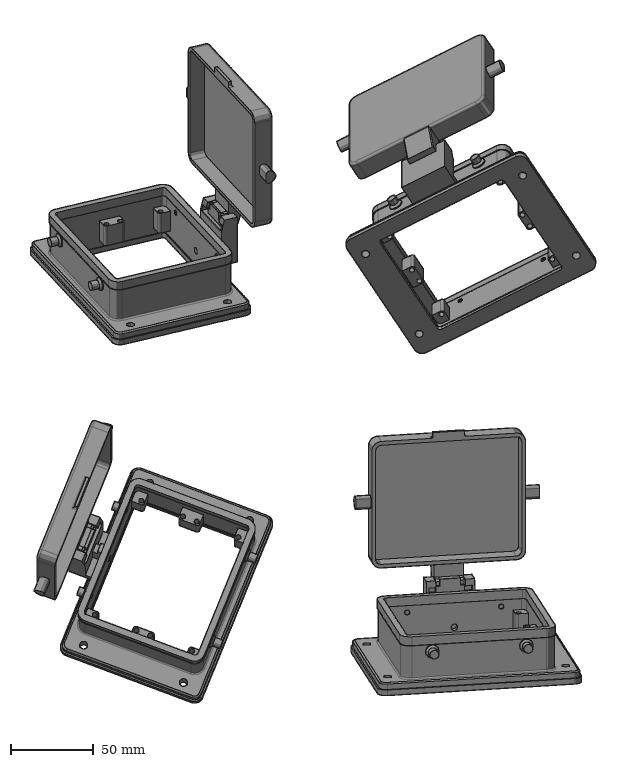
import cadquery as cq


gasket_x = 126.0
gasket_y = 92.1
gasket_height = 3.6
flange_inset = 1.0
flange_top = 7.7
flange_corner = 5.3
flange_bevel_drop = 0.7
flange_bevel_inset = 1.2
mount_hole_diameter = 4.8
mount_hole_x = 55.0
mount_hole_y = 32.5

wall_x = 95.0
wall_y = 80.7
wall_corner = 5.8
root_fillet = 0.9
rim_overhang = 0.5
rim_bottom = 29.0
housing_top = 34.8
rim_opening_x = 88.0
rim_opening_y = 73.8
rim_opening_corner = 2.0
wall_relief = 0.1
wall_opening_corner = 2.6
gasket_opening_inset = 0.5

post_bottom = 8.1
post_top = 22.0
post_inner_x = 36.3
corner_post_y = 29.3
middle_post_half_y = 6.8
post_corner = 1.7
post_hole_diameter = 3.0
post_hole_x = 38.7
corner_post_hole_y = 31.5
middle_post_hole_y = 4.5

pin_x = 29.0
pin_z = 24.6
pin_diameter = 5.5
front_pin_end = 47.2
rear_pin_end = 46.0
pin_collar_diameter = 8.2
pin_collar_length = 2.0
pin_bore_diameter = 3.0
pin_bore_depth = 0.7
rivet_bore_diameter = 4.0
rivet_z = 13.4

cover_x = wall_x
cover_bottom = 48.2
cover_top = 128.9
cover_front = 54.2
cover_back = 66.4
cover_corner = wall_corner
cover_wall = 2.4
cover_back_fillet = 1.7
handle_length_x = 113.5
handle_z = 89.2
handle_half_height = 4.2
handle_flat_half_height = 2.6
handle_flat_y = 57.5
handle_crest_y = 59.6
handle_tip_y = 64.1
handle_front_mid = (58.0, 3.7)
handle_back_mid = (62.3, 3.0)
tab_width = 19.5
tab_thickness = 2.0
tab_top = 132.5
tab_root_fillet = 1.0

hinge_width = 30.0
hinge_back = 57.8
hinge_bottom = 8.2
hinge_top = 39.6
hinge_top_front = 49.2
hinge_front = 47.0
hinge_slope_bottom = 31.3
foot_top = 12.9
foot_notch_top = 10.6
foot_notch_y = 42.5
arm_width = 18.3
arm_bottom = 31.1
arm_back_top = 66.1
arm_back_bottom = 61.5
arm_back_bevel = 0.7
arm_setback = 0.3
pocket_width = 26.8
pocket_floor = 32.0
pocket_top = 35.6
pocket_back = 51.0
clip_tip_width = 12.7
clip_body_width = 17.5
clip_tip_y = 49.2
clip_tip_z = 40.7
clip_shoulder_z = 38.5
clip_saddle_y = 51.1
clip_saddle_z = 39.8
clip_body_saddle_y = 52.0
clip_back_z = 40.3
clip_foot_y = 49.4
clip_notch_floor = 36.0
clip_notch_back = 50.6
rib_width = 5.5
rib_step_y = 43.9
rib_step_z = 24.6
rib_top = 29.2


def rounded_block(size_x, size_y, bottom, top, corner):
    """Upright block centred on the Z axis with rounded vertical edges."""
    block = cq.Workplane("XY").workplane(offset=bottom).rect(size_x, size_y).extrude(top - bottom)
    return block.edges("|Z").fillet(corner)


def side_profile(points, width):
    """Extrude a (Y, Z) polygon symmetrically about X = 0."""
    return cq.Workplane("YZ").polyline(points).close().extrude(width / 2, both=True)


def box_between(x_range, y_range, z_range):
    """Box given by its lower and upper limits along each axis."""
    sizes = [high - low for low, high in (x_range, y_range, z_range)]
    corner = (x_range[0], y_range[0], z_range[0])
    return cq.Workplane("XY").box(*sizes, centered=False).translate(corner)


def make_shell():
    gasket = rounded_block(gasket_x, gasket_y, 0, gasket_height, flange_corner)
    flange = rounded_block(
        gasket_x - 2 * flange_inset,
        gasket_y - 2 * flange_inset,
        gasket_height,
        flange_top,
        flange_corner - flange_inset,
    )
    flange = flange.faces(">Z").chamfer(flange_bevel_drop, flange_bevel_inset)
    walls = rounded_block(wall_x, wall_y, flange_top, rim_bottom, wall_corner)
    shell = flange.union(walls)
    root_edges = cq.selectors.BoxSelector(
        (-wall_x / 2 - root_fillet, -wall_y / 2 - root_fillet, flange_top - root_fillet),
        (wall_x / 2 + root_fillet, wall_y / 2 + root_fillet, flange_top + root_fillet),
    )
    shell = shell.edges(root_edges).fillet(root_fillet)
    rim = rounded_block(
        wall_x + 2 * rim_overhang,
        wall_y + 2 * rim_overhang,
        rim_bottom,
        housing_top,
        wall_corner + rim_overhang,
    )
    shell = shell.union(gasket).union(rim)

    gasket_opening = rounded_block(
        rim_opening_x - 2 * gasket_opening_inset,
        rim_opening_y - 2 * gasket_opening_inset,
        0,
        gasket_height,
        rim_opening_corner,
    )
    wall_opening = rounded_block(
        rim_opening_x + 2 * wall_relief,
        rim_opening_y + 2 * wall_relief,
        gasket_height,
        rim_bottom,
        wall_opening_corner,
    )
    rim_opening = rounded_block(
        rim_opening_x, rim_opening_y, rim_bottom, housing_top, rim_opening_corner
    )
    shell = shell.cut(gasket_opening).cut(wall_opening).cut(rim_opening)

    mount_holes = (
        cq.Workplane("XY")
        .rect(2 * mount_hole_x, 2 * mount_hole_y, forConstruction=True)
        .vertices()
        .circle(mount_hole_diameter / 2)
        .extrude(flange_top)
    )
    return shell.cut(mount_holes)


def make_posts():
    """Four corner posts and two middle posts, each reaching into the side walls."""
    embed_x = (rim_opening_x + wall_x) / 4
    embed_y = (rim_opening_y + wall_y) / 4
    span_x = (post_inner_x, embed_x)
    span_z = (post_bottom, post_top)
    corner_post = box_between(span_x, (corner_post_y, embed_y), span_z)
    corner_post = corner_post.edges("|Z and <X and <Y").fillet(post_corner)
    middle_post = box_between(span_x, (-middle_post_half_y, middle_post_half_y), span_z)
    middle_post = middle_post.edges("|Z and <X").fillet(post_corner)
    hole_rows = (-corner_post_hole_y, -middle_post_hole_y, middle_post_hole_y, corner_post_hole_y)
    holes = (
        cq.Workplane("XY")
        .pushPoints([(post_hole_x, y) for y in hole_rows])
        .circle(post_hole_diameter / 2)
        .extrude(post_top)
    )
    side = middle_post.union(corner_post).union(corner_post.mirror("XZ")).cut(holes)
    return side.union(side.mirror("YZ"))


def y_cylinder(x, z, y_start, y_end, diameter):
    """Cylinder along +Y."""
    plane = cq.Plane(origin=(x, y_start, z), xDir=(1, 0, 0), normal=(0, 1, 0))
    return cq.Workplane(plane).circle(diameter / 2).extrude(y_end - y_start)


def make_pin_pair(end_y):
    """Two locking pins with flared collars on the +Y wall, reaching out to end_y."""
    wall_face = wall_y / 2
    collar_end = wall_face + pin_collar_length
    flare = (pin_collar_diameter - pin_diameter) / 2
    collar = y_cylinder(pin_x, pin_z, wall_face, collar_end, pin_collar_diameter)
    collar = collar.faces(">Y").chamfer(flare)
    pin = collar.union(y_cylinder(pin_x, pin_z, wall_face, end_y, pin_diameter))
    return pin.union(pin.mirror("YZ"))


def make_pins():
    front = make_pin_pair(front_pin_end).mirror("XZ")
    return front.union(make_pin_pair(rear_pin_end))


def make_wall_bores():
    """Shallow recesses behind the pins and a deeper rivet bore behind the hinge."""
    inner_face = rim_opening_y / 2
    recess_end = inner_face + wall_relief + pin_bore_depth
    recess = y_cylinder(pin_x, pin_z, inner_face, recess_end, pin_bore_diameter)
    recesses = recess.union(recess.mirror("YZ"))
    hinge_bore = y_cylinder(0, rivet_z, inner_face, wall_y / 2, rivet_bore_diameter)
    return recesses.union(recesses.mirror("XZ")).union(hinge_bore)


def make_cover():
    height = cover_top - cover_bottom
    middle_z = (cover_top + cover_bottom) / 2
    front_plane = cq.Plane(origin=(0, cover_front, middle_z), xDir=(-1, 0, 0), normal=(0, 1, 0))
    depth = cover_back - cover_front
    tray = cq.Workplane(front_plane).rect(cover_x, height).extrude(depth)
    tray = tray.edges("|Y").fillet(cover_corner)
    tray = tray.faces(">Y").edges().fillet(cover_back_fillet)
    cavity = (
        cq.Workplane(front_plane)
        .rect(cover_x - 2 * cover_wall, height - 2 * cover_wall)
        .extrude(depth - cover_wall)
        .edges("|Y")
        .fillet(cover_corner - cover_wall)
    )

    tab_back = cover_front + tab_thickness
    tab = box_between(
        (-tab_width / 2, tab_width / 2),
        (cover_front, tab_back),
        (cover_top - cover_wall / 2, tab_top),
    )
    tray = tray.union(tab)
    tab_root = cq.selectors.BoxSelector(
        (-tab_width / 2 - tab_root_fillet, cover_front + tab_thickness / 4, cover_top - tab_root_fillet),
        (tab_width / 2 + tab_root_fillet, tab_back + tab_root_fillet, cover_top + tab_root_fillet),
    )
    tray = tray.edges(tab_root).fillet(tab_root_fillet)

    mid_front_y, mid_front_z = handle_front_mid
    mid_back_y, mid_back_z = handle_back_mid
    handle = (
        cq.Workplane(cq.Plane(origin=(0, 0, handle_z), xDir=(0, 1, 0), normal=(1, 0, 0)))
        .moveTo(handle_flat_y, -handle_flat_half_height)
        .lineTo(handle_flat_y, handle_flat_half_height)
        .threePointArc((mid_front_y, mid_front_z), (handle_crest_y, handle_half_height))
        .threePointArc((mid_back_y, mid_back_z), (handle_tip_y, 0))
        .threePointArc((mid_back_y, -mid_back_z), (handle_crest_y, -handle_half_height))
        .threePointArc((mid_front_y, -mid_front_z), (handle_flat_y, -handle_flat_half_height))
        .close()
        .extrude(handle_length_x / 2, both=True)
    )
    return tray.union(handle).cut(cavity)


def make_hinge():
    wall_face = wall_y / 2
    block = side_profile(
        [
            (hinge_back, hinge_bottom),
            (hinge_back, hinge_top),
            (hinge_top_front, hinge_top),
            (hinge_front, hinge_slope_bottom),
            (hinge_front, foot_top),
            (wall_face, foot_top),
            (wall_face, foot_notch_top),
            (foot_notch_y, foot_notch_top),
            (foot_notch_y, hinge_bottom),
        ],
        hinge_width,
    )
    slot = box_between(
        (-arm_width / 2, arm_width / 2), (hinge_front, hinge_back), (pocket_floor, hinge_top)
    )
    pocket = box_between(
        (-pocket_width / 2, pocket_width / 2), (hinge_front, pocket_back), (pocket_floor, pocket_top)
    )
    arm_front = cover_front + arm_setback
    arm = side_profile(
        [
            (arm_front, arm_bottom),
            (arm_front, cover_bottom + cover_wall / 2),
            (arm_back_top, cover_bottom + cover_back_fillet),
            (arm_back_top, cover_bottom),
            (arm_back_bottom, arm_bottom),
        ],
        arm_width,
    )
    slope_edges = cq.selectors.BoxSelector(
        (-arm_width, arm_back_bottom, arm_bottom), (arm_width, arm_back_top, cover_bottom)
    )
    arm = arm.edges(slope_edges).edges("not |X").chamfer(arm_back_bevel)
    clip_tip = side_profile(
        [
            (arm_front, pocket_floor),
            (arm_front, clip_back_z),
            (clip_saddle_y, clip_saddle_z),
            (clip_tip_y, clip_tip_z),
            (clip_foot_y, pocket_floor),
        ],
        clip_tip_width,
    )
    lean = (clip_foot_y - clip_tip_y) / (clip_tip_z - pocket_floor)
    clip_notch_front = clip_tip_y + lean * (clip_tip_z - clip_notch_floor)
    clip_body = side_profile(
        [
            (arm_front, pocket_floor),
            (arm_front, clip_back_z),
            (clip_body_saddle_y, clip_saddle_z),
            (clip_notch_back, clip_shoulder_z),
            (clip_notch_back, clip_notch_floor),
            (clip_notch_front, clip_notch_floor),
            (clip_foot_y, pocket_floor),
        ],
        clip_body_width,
    )
    rib = side_profile(
        [
            (wall_face, foot_top),
            (wall_face, rib_top),
            (rib_step_y, rib_top),
            (rib_step_y, rib_step_z),
            (hinge_front, rib_step_z),
            (hinge_front, foot_top),
        ],
        rib_width,
    )
    hinge = block.cut(slot).cut(pocket)
    return hinge.union(arm).union(clip_body).union(clip_tip).union(rib)


housing = make_shell().union(make_posts()).union(make_pins()).cut(make_wall_bores())
result = housing.union(make_hinge()).union(make_cover())